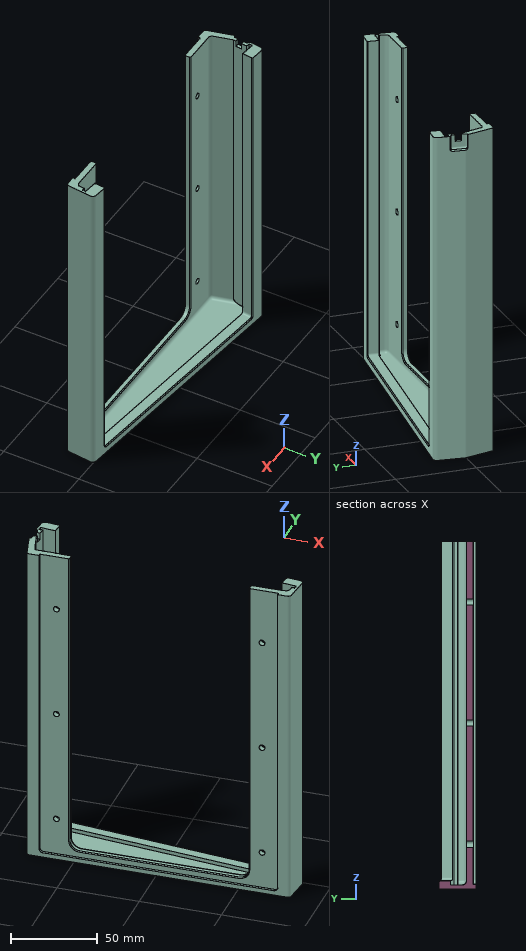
import cadquery as cq
import math

width = 166.8
depth = 38.0
height = 201.0

back_tilt = math.radians(6.5)
left_lean = math.radians(14.2)
ridge_y = 19.0
front_radius = 2.0
ridge_radius = 2.0
back_radius = 2.6

front_wall = 5.6
left_wall = 4.2
right_wall = 3.5
floor_z = 2.6
cavity_radius = 2.5

lip_thickness = 7.0
groove_thickness = 2.2
shelf_depth = lip_thickness + groove_thickness
groove_wall = 1.8

edge_chamfer = 0.6
lip_floor_z = 5.0
back_margin = 11.0
back_corner_radius = 1.6
window_floor_z = 7.0
window_width = 109.0
window_corner_radius = 6.2
recess_width = 145.1
recess_depth = 1.6
recess_floor_z = 3.0
recess_corner_radius = 2.5

hole_diameter = 3.5
hole_spacing_x = 125.0
hole_pitch_z = 70.0
first_hole_z = 26.1
hole_rows = 3

latch_y = 23.0
pocket_width = 9.8
pocket_height = 8.6
pocket_depth = 1.8
pocket_radius = 1.0
pocket_chamfer = 0.8
notch_width = 3.8
notch_height = 4.0

overshoot = 10.0

sin_tilt = math.sin(back_tilt)
cos_tilt = math.cos(back_tilt)

back_left_y = depth + back_radius * (sin_tilt + cos_tilt - 1)
ridge_x = ridge_radius * (
    1 - math.cos((left_lean - back_tilt) / 2) / math.cos((left_lean + back_tilt) / 2)
)
back_left_x = ridge_x + (back_left_y - ridge_y) * math.tan(back_tilt)
back_width = (width + back_radius * (sin_tilt + cos_tilt - 1) - back_left_x) / cos_tilt
front_left_x = ridge_x + ridge_y * math.tan(left_lean)


def back_point(along, inward):
    """Point at a distance along the back from its left corner and inward from its face."""
    return (
        back_left_x + along * cos_tilt - inward * sin_tilt,
        back_left_y - along * sin_tilt - inward * cos_tilt,
    )


def right_wall_point(offset, y):
    """Point at the given y on the plane lying inside the right side by the given offset."""
    x, top_y = back_point(back_width - offset, 0)
    return (x - (top_y - y) * math.tan(back_tilt), y)


def left_wall_point(offset, y):
    """Point at the given y on the plane lying inside the lower left side by the given offset."""
    return (front_left_x - y * math.tan(left_lean) + offset / math.cos(left_lean), y)


def prism(points, bottom_z):
    """Upright prism from bottom_z to above the top of the part."""
    tall = height + overshoot - bottom_z
    return cq.Workplane("XY").workplane(offset=bottom_z).polyline(points).close().extrude(tall)


front_right_x = right_wall_point(0, 0)[0]
center_x = (front_left_x + front_right_x) / 2


def outer_body():
    """Solid wedge, standing on its end, with rounded upright corners."""
    corners = [
        ((front_left_x, 0), front_radius),
        ((front_right_x, 0), front_radius),
        (back_point(back_width, 0), back_radius),
        (back_point(0, 0), back_radius),
        ((ridge_x, ridge_y), ridge_radius),
    ]
    outline = [point for point, radius in corners]
    body = cq.Workplane("XY").polyline(outline).close().extrude(height)
    for (x, y), radius in corners:
        corner_edge = cq.NearestToPointSelector((x, y, height / 2))
        body = body.edges(corner_edge).fillet(radius)
    return body


def cavity():
    """Room between the walls, with rounded lower edges, cut off by the shelf and upper left wall."""
    room = prism(
        [
            left_wall_point(left_wall, front_wall),
            right_wall_point(right_wall, front_wall),
            right_wall_point(right_wall, depth + overshoot),
            left_wall_point(left_wall, depth + overshoot),
        ],
        floor_z,
    )
    room = room.edges("(|Z and <Y) or (<Z and (not >Y))").fillet(cavity_radius)
    limit = prism(
        [
            back_point(left_wall, shelf_depth),
            back_point(left_wall, 2 * depth),
            back_point(back_width, 2 * depth),
            back_point(back_width, shelf_depth),
        ],
        floor_z,
    )
    return room.intersect(limit)


def groove():
    """Panel groove between the back lip and the shelf."""
    return prism(
        [
            back_point(groove_wall, lip_thickness),
            back_point(groove_wall, shelf_depth),
            back_point(back_width - groove_wall, shelf_depth),
            back_point(back_width - groove_wall, lip_thickness),
        ],
        floor_z,
    )


def slot(slot_width, bottom_z, start_y, length, radius, taper=0):
    """Cutter from start_y toward +Y, centered on X = 0, with rounded bottom corners."""
    tall = height + overshoot - bottom_z
    outline = cq.Sketch().rect(slot_width, tall).vertices("<Y").fillet(radius)
    sheet = cq.Workplane("XZ", origin=(0, start_y, bottom_z + tall / 2)).placeSketch(outline)
    return sheet.extrude(-length, taper=taper)


def flare(slot_width, bottom_z, start_y, direction, radius, chamfer=edge_chamfer):
    """Cutter for a 45 degree chamfer around a slot edge, narrowing in the given Y direction."""
    return slot(
        slot_width + 2 * chamfer,
        bottom_z - chamfer,
        start_y,
        direction * chamfer,
        radius + chamfer,
        taper=45,
    )


def front_recess():
    """Shallow step sunk into the front face around the window."""
    cutter = slot(recess_width, recess_floor_z, 0, recess_depth, recess_corner_radius)
    return cutter.translate((center_x, 0, 0))


def front_window():
    """Opening in the front wall, chamfered on both faces."""
    size = (window_width, window_floor_z)
    cutter = slot(*size, 0, front_wall + edge_chamfer, window_corner_radius)
    cutter = cutter.union(flare(*size, recess_depth, 1, window_corner_radius))
    cutter = cutter.union(flare(*size, front_wall, -1, window_corner_radius))
    return cutter.translate((center_x, 0, 0))


def back_opening():
    """Opening through the back lip, square to the tilted back and chamfered on its outer edge."""
    size = (back_width - 2 * back_margin, lip_floor_z)
    cutter = slot(*size, -shelf_depth, shelf_depth, back_corner_radius)
    cutter = cutter.union(flare(*size, 0, -1, back_corner_radius))
    cutter = cutter.rotate((0, 0, 0), (0, 0, 1), -math.degrees(back_tilt))
    return cutter.translate((*back_point(back_width / 2, 0), 0))


def screw_holes():
    """Plain holes through the front wall, one column beside each window edge."""
    points = [
        (center_x + side * hole_spacing_x / 2, first_hole_z + row * hole_pitch_z)
        for side in (-1, 1)
        for row in range(hole_rows)
    ]
    plate_side = cq.Workplane("XZ").pushPoints(points)
    return plate_side.circle(hole_diameter / 2).extrude(-(front_wall + cavity_radius))


def latch_pocket():
    """Shallow pocket square to the upper left wall, with a chamfered mouth and rounded floor edges."""
    size = (pocket_width, height - pocket_height)
    cutter = slot(*size, -overshoot, overshoot + pocket_depth, pocket_radius)
    cutter = cutter.edges(">Y and (not >Z)").fillet(pocket_radius)
    cutter = cutter.union(flare(*size, 0, 1, pocket_radius, pocket_chamfer))
    cutter = cutter.rotate((0, 0, 0), (0, 0, 1), -90 - math.degrees(back_tilt))
    wall_x = ridge_x + (latch_y - ridge_y) * math.tan(back_tilt)
    return cutter.translate((wall_x, latch_y, 0))


def latch_notch():
    """Square notch through the left wall, in the middle of the latch pocket."""
    reach = 2 * overshoot
    block = cq.Workplane("XY").box(reach, notch_width, 2 * notch_height)
    return block.translate((0, latch_y, height))


result = (
    outer_body()
    .cut(cavity())
    .cut(groove())
    .cut(front_recess())
    .cut(front_window())
    .cut(back_opening())
    .cut(screw_holes())
    .cut(latch_pocket())
    .cut(latch_notch())
)